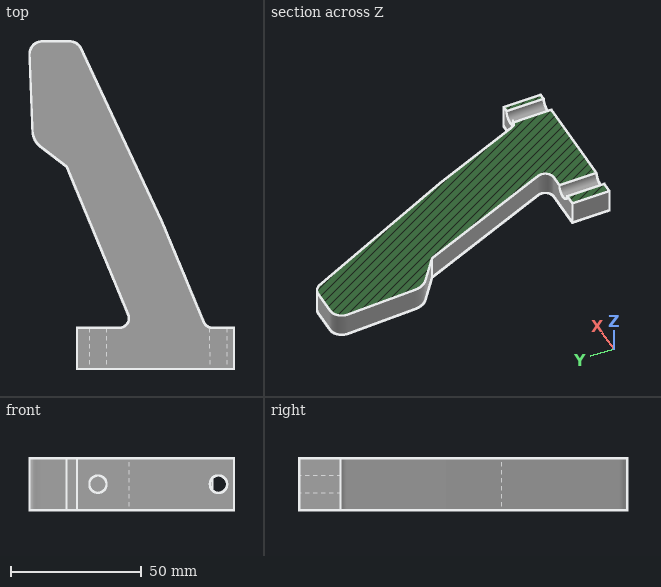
import cadquery as cq

thickness = 20.0
total_length = 125.23

foot_width = 60.0
foot_depth = 15.85

hole_diameter = 6.6
hole_spacing = 46.0
hole_edge_distance = 6.0

arm_root_left = (21.6, foot_depth)
arm_root_right = (49.35, foot_depth)
arm_bend_right = (32.6, 56.1)
tip_right = (0.3, total_length)
tip_left = (-18.35, total_length)
head_corner = (-16.88, 87.2)
neck = (-3.95, 77.3)

root_radius = 3.6
tip_radius = 5.0
head_radius = 8.0


def round_corner(body, corner, radius):
    """Round the full-height edge that stands on the given XY corner."""
    x, y = corner
    edge = cq.selectors.NearestToPointSelector((x, y, thickness / 2))
    return body.edges("|Z").edges(edge).fillet(radius)


def make_profile():
    """Extrude the foot and the leaning arm as one sharp-cornered plate."""
    outline = [
        (0, 0),
        (foot_width, 0),
        (foot_width, foot_depth),
        arm_root_right,
        arm_bend_right,
        tip_right,
        tip_left,
        head_corner,
        neck,
        arm_root_left,
        (0, foot_depth),
    ]
    return cq.Workplane("XY").polyline(outline).close().extrude(thickness)


def make_mounting_hole(x):
    """Cylinder that passes through the depth of the foot at mid thickness."""
    axis_start = cq.Vector(x, 0, thickness / 2)
    bore = cq.Solid.makeCylinder(hole_diameter / 2, foot_depth, axis_start, cq.Vector(0, 1, 0))
    return cq.Workplane(bore)


result = make_profile()

rounded_corners = [
    (arm_root_left, root_radius),
    (arm_root_right, root_radius),
    (tip_right, tip_radius),
    (tip_left, tip_radius),
    (head_corner, head_radius),
]
for corner, radius in rounded_corners:
    result = round_corner(result, corner, radius)

right_hole_x = foot_width - hole_edge_distance
for hole_x in (right_hole_x - hole_spacing, right_hole_x):
    result = result.cut(make_mounting_hole(hole_x))